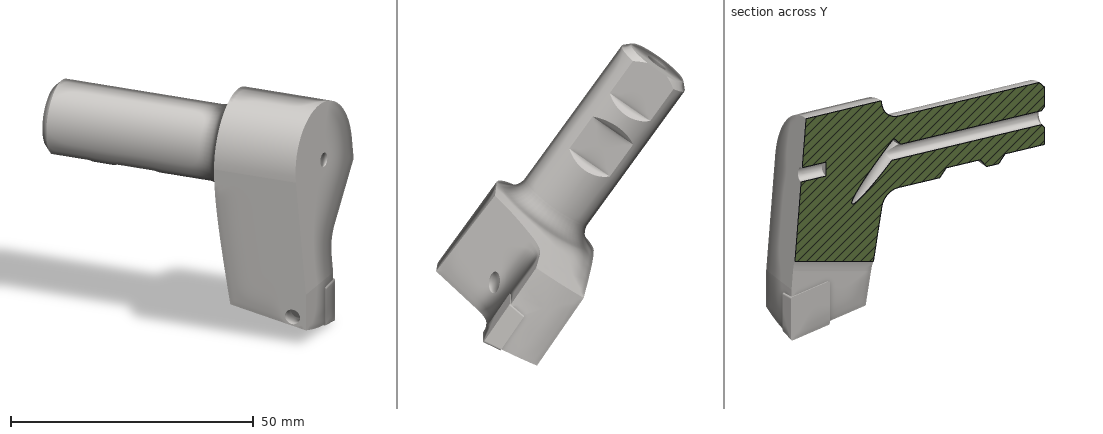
import cadquery as cq
import math


def tan_deg(angle):
    return math.tan(math.radians(angle))


def sin_deg(angle):
    return math.sin(math.radians(angle))


def cos_deg(angle):
    return math.cos(math.radians(angle))


SHANK_RADIUS = 8.0
SHANK_CHAMFER = 1.4
CLAMP_FLAT_Z = -6.15
NOTCH_SLOPE = 40.0
RIDGE_START, RIDGE_END = 9.7, 15.8
SECOND_FLAT_END = 24.1

HEAD_RADIUS = 12.3
HEAD_BACK_X = 39.95
CONE_ANGLE = 10.0
NECK_RADIUS = 4.0
HEAD_TAIL_RADIUS = 32.6
END_X = 59.5
END_SIDE_TILT = 7.0
END_TILT = 5.0
END_BEND_Z = -25.2
BLANK_END_X = 70.0
BLANK_DEPTH = 50.0

GULLET_FLOOR_Y = -0.3
GULLET_EDGE_Z = -9.4
GULLET_SLOPE = 45.0
GULLET_RADIUS = 8.0
GULLET_RISE = 12.0
GULLET_REACH = 40.0

BORE_DIAMETER = 3.0
BORE_MOUTH_DIAMETER = 4.65
BORE_END_X = 38.0
COOLANT_OUTLET = (56.0, 3.0, -18.0)
END_HOLE_DEPTH = 6.0

INSERT_SIDE = 9.67
INSERT_CORNER_ANGLE = 80.0
INSERT_THICKNESS = 3.97
INSERT_RELIEF = 7.0
INSERT_NOSE_RADIUS = 0.4
TIP_X = 62.0
TIP_Z = -36.447

SCREW_DIAMETER = 3.3
SCREW_HEAD_DIAMETER = 5.1
SCREW_HEAD_HEIGHT = 1.8
SCREW_RECESS = 3.3


def insert_center():
    half_diagonal = INSERT_SIDE * cos_deg(INSERT_CORNER_ANGLE / 2)
    x = TIP_X - half_diagonal * sin_deg(INSERT_CORNER_ANGLE / 2)
    z = TIP_Z + half_diagonal * cos_deg(INSERT_CORNER_ANGLE / 2)
    return x, z


def make_insert_blank():
    run = INSERT_SIDE * sin_deg(INSERT_CORNER_ANGLE)
    rise = INSERT_SIDE * cos_deg(INSERT_CORNER_ANGLE)
    blank = (
        cq.Workplane("XZ")
        .moveTo(TIP_X, TIP_Z)
        .lineTo(TIP_X, TIP_Z + INSERT_SIDE)
        .lineTo(TIP_X - run, TIP_Z + INSERT_SIDE + rise)
        .lineTo(TIP_X - run, TIP_Z + rise)
        .close()
        .extrude(INSERT_THICKNESS, taper=INSERT_RELIEF)
    )
    side_edges = blank.edges("not(#Y)")
    return side_edges.fillet(INSERT_NOSE_RADIUS)


def make_screw():
    """Countersunk screw along Y, head flush with the insert top."""
    x, z = insert_center()
    shaft_radius = SCREW_DIAMETER / 2
    head_radius = SCREW_HEAD_DIAMETER / 2
    screw_end_y = SCREW_RECESS - HEAD_RADIUS
    return (
        cq.Workplane("XY")
        .polyline([
            (0, 0),
            (head_radius, 0),
            (shaft_radius, -SCREW_HEAD_HEIGHT),
            (shaft_radius, screw_end_y),
            (0, screw_end_y),
        ])
        .close()
        .revolve(360, (0, 0, 0), (0, 1, 0))
        .translate((x, 0, z))
    )


def make_screw_hole():
    x, z = insert_center()
    return (
        cq.Workplane("XZ")
        .center(x, z)
        .circle(SCREW_DIAMETER / 2)
        .extrude(HEAD_RADIUS)
    )


def make_turned_blank():
    """Revolved shank, neck fillet and conical back and rim of the head."""
    neck_center_r = SHANK_RADIUS + NECK_RADIUS
    tangent_r = neck_center_r - NECK_RADIUS * sin_deg(CONE_ANGLE)
    tangent_x = HEAD_BACK_X + (tangent_r - HEAD_RADIUS) * tan_deg(CONE_ANGLE)
    neck_x = tangent_x - NECK_RADIUS * cos_deg(CONE_ANGLE)
    mid_angle = (90 - CONE_ANGLE) / 2
    arc_middle = (
        neck_x + NECK_RADIUS * sin_deg(mid_angle),
        neck_center_r - NECK_RADIUS * cos_deg(mid_angle),
    )
    tail_x = HEAD_BACK_X + (HEAD_TAIL_RADIUS - HEAD_RADIUS) * tan_deg(CONE_ANGLE)
    end_radius = HEAD_TAIL_RADIUS + (BLANK_END_X - tail_x) * tan_deg(CONE_ANGLE)
    return (
        cq.Workplane("XZ")
        .lineTo(0, SHANK_RADIUS - SHANK_CHAMFER)
        .lineTo(SHANK_CHAMFER, SHANK_RADIUS)
        .lineTo(neck_x, SHANK_RADIUS)
        .threePointArc(arc_middle, (tangent_x, tangent_r))
        .lineTo(tail_x, HEAD_TAIL_RADIUS)
        .lineTo(BLANK_END_X, end_radius)
        .lineTo(BLANK_END_X, 0)
        .close()
        .revolve(360, (0, 0, 0), (1, 0, 0))
    )


def make_clamp_notches():
    """Flat under the shank, interrupted by one sloped ridge."""
    slope_run = (SHANK_RADIUS + CLAMP_FLAT_Z) * tan_deg(NOTCH_SLOPE)
    first = [
        (0, CLAMP_FLAT_Z),
        (RIDGE_START, CLAMP_FLAT_Z),
        (RIDGE_START + slope_run, -SHANK_RADIUS),
        (0, -SHANK_RADIUS),
    ]
    second = [
        (RIDGE_END, CLAMP_FLAT_Z),
        (SECOND_FLAT_END, CLAMP_FLAT_Z),
        (SECOND_FLAT_END + slope_run, -SHANK_RADIUS),
        (RIDGE_END - slope_run, -SHANK_RADIUS),
    ]
    notches = cq.Workplane("XZ")
    for outline in (first, second):
        notches = notches.polyline(outline).close()
    return notches.extrude(SHANK_RADIUS, both=True)


def make_head_outline():
    """Round-topped prism along X that bounds the head."""
    return (
        cq.Workplane("YZ")
        .moveTo(-HEAD_RADIUS, 0)
        .threePointArc((0, HEAD_RADIUS), (HEAD_RADIUS, 0))
        .lineTo(HEAD_RADIUS, -BLANK_DEPTH)
        .lineTo(-HEAD_RADIUS, -BLANK_DEPTH)
        .close()
        .extrude(BLANK_END_X)
    )


def make_end_trim():
    """Keeps everything behind the slanted end face, which bends upright at its lower part."""
    bend_x = END_X - END_BEND_Z * tan_deg(END_TILT)
    side_shift = BLANK_DEPTH * tan_deg(END_SIDE_TILT)
    top_x = END_X - BLANK_DEPTH * tan_deg(END_TILT)
    outline = [
        (-BLANK_DEPTH, BLANK_DEPTH),
        (top_x, BLANK_DEPTH),
        (bend_x, END_BEND_Z),
        (bend_x, -BLANK_DEPTH),
        (-BLANK_DEPTH, -BLANK_DEPTH),
    ]
    points = [cq.Vector(x, 0, z) for x, z in outline]
    face = cq.Face.makeFromWires(cq.Wire.makePolygon(points, close=True))
    sweep = cq.Vector(2 * side_shift, 2 * BLANK_DEPTH, 0)
    trim = cq.Solid.extrudeLinear(face, sweep)
    return cq.Workplane(trim.translate(cq.Vector(-side_shift, -BLANK_DEPTH, 0)))


def make_gullet():
    """Cutter with a floor facing +Y, a rounded corner and a sloped roof, rising toward +X."""
    corner_z = GULLET_EDGE_Z - (HEAD_RADIUS - GULLET_FLOOR_Y) * tan_deg(GULLET_SLOPE)
    outer_y = 2 * HEAD_RADIUS
    outer_z = GULLET_EDGE_Z + (outer_y - HEAD_RADIUS) * tan_deg(GULLET_SLOPE)
    cutter = (
        cq.Workplane("YZ")
        .polyline([
            (GULLET_FLOOR_Y, -BLANK_DEPTH),
            (GULLET_FLOOR_Y, corner_z),
            (outer_y, outer_z),
            (outer_y, -BLANK_DEPTH),
        ])
        .close()
        .extrude(GULLET_REACH, both=True)
    )
    corner_edge = cutter.edges(cq.selectors.NearestToPointSelector((0, GULLET_FLOOR_Y, corner_z)))
    cutter = corner_edge.fillet(GULLET_RADIUS)
    pivot = (0, 0, GULLET_EDGE_Z)
    pivot_end = (0, 1, GULLET_EDGE_Z)
    return cutter.rotate(pivot, pivot_end, -GULLET_RISE).translate((HEAD_BACK_X, 0, 0))


def cylinder(start, direction, length):
    return cq.Workplane(cq.Solid.makeCylinder(BORE_DIAMETER / 2, length, start, direction))


def make_coolant_channel():
    """Axial bore with a chamfered mouth, an angled branch into the gullet and a blind end hole."""
    axis = cq.Vector(1, 0, 0)
    bore = cylinder(cq.Vector(0, 0, 0), axis, BORE_END_X)
    mouth_depth = (BORE_MOUTH_DIAMETER - BORE_DIAMETER) / 2
    mouth = cq.Workplane(
        cq.Solid.makeCone(
            BORE_MOUTH_DIAMETER / 2, BORE_DIAMETER / 2, mouth_depth, cq.Vector(0, 0, 0), axis
        )
    )
    elbow = cq.Vector(BORE_END_X, 0, 0)
    branch_run = cq.Vector(*COOLANT_OUTLET) - elbow
    branch_axis = branch_run.normalized()
    start = elbow - branch_axis * BORE_DIAMETER
    branch = cylinder(start, branch_axis, branch_run.Length + 2 * BORE_DIAMETER)
    end_hole = cylinder(cq.Vector(END_X - END_HOLE_DEPTH, 0, 0), axis, 2 * END_HOLE_DEPTH)
    return bore.union(mouth).union(branch).union(end_hole)


screw = make_screw()
insert_blank = make_insert_blank()
insert = insert_blank.cut(screw)

holder = (
    make_turned_blank()
    .intersect(make_head_outline())
    .intersect(make_end_trim())
    .cut(make_clamp_notches())
    .cut(make_gullet())
    .cut(make_coolant_channel())
    .cut(insert_blank)
    .cut(make_screw_hole())
)

result = cq.Compound.makeCompound([holder.val(), insert.val(), screw.val()])